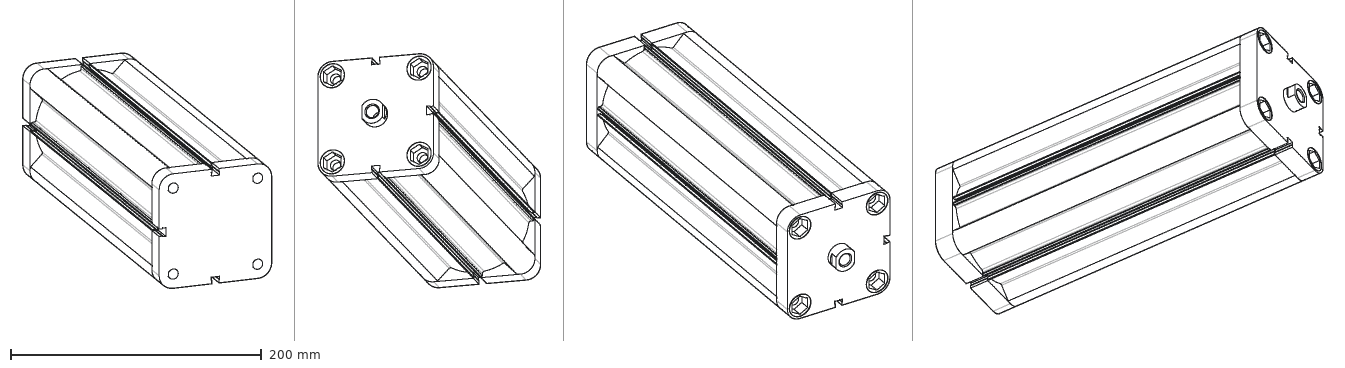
import cadquery as cq
import math

SIDE = 96.0
HALF_SIDE = SIDE / 2
BODY_LENGTH = 306.5
CAP_LENGTH = 16.5
ROD_PROJECTION = 10.0
BARREL_LENGTH = BODY_LENGTH - 2 * CAP_LENGTH
REAR_CAP_START = BODY_LENGTH - CAP_LENGTH

BOLT_OFFSET = 36.0
CORNER_RADIUS = HALF_SIDE - BOLT_OFFSET
BOLT_HOLE_DIAMETER = 8.5
HEX_ACROSS_FLATS = 14.5
HEX_DEPTH = 9.0
SPOT_FACE_DIAMETER = 20.0
SPOT_FACE_DEPTH = 0.5

LIP_DEPTH = 3.0
CHAMBER_WIDTH = 7.2
CAP_MOUTH_WIDTH = 6.2
CAP_SLOT_DEPTH = 5.6
BARREL_MOUTH_WIDTH = 4.8
BARREL_SLOT_DEPTH = 5.0

CORE_RADIUS = 43.3
POST_EDGE = 32.8
VALLEY_FILLET = 1.5
RAIL_HALF_WIDTH = 4.4
RAIL_FOOT_RADIUS = 1.8
RAIL_CHAMFER = 1.0
RAIL_TOP = 47.5

ROD_DIAMETER = 20.0
ROD_ACROSS_FLATS = 17.0
FLAT_LENGTH = 6.5
THREAD_HOLE_DIAMETER = 10.2
THREAD_HOLE_DEPTH = 20.0
DRILL_POINT_ANGLE = 118.0
COUNTERSINK_DIAMETER = 12.0

FACE_ANGLES = (0, 90, 180, 270)


def section_plane(x):
    """Sketch plane across the axis at X = x: local x is +Y, local y is +Z, extruding toward +X."""
    return cq.Workplane("YZ", origin=(x, 0, 0))


def turned(shape, angle):
    """Turn a shape about the cylinder axis."""
    return shape.rotate((0, 0, 0), (1, 0, 0), angle)


def at_bolts(plane):
    """Put a workplane at the four corner bolt positions."""
    return plane.rect(2 * BOLT_OFFSET, 2 * BOLT_OFFSET, forConstruction=True).vertices()


def bolt_holes(start, length):
    """Cutters for the four bolt holes, from X = start."""
    return at_bolts(section_plane(start)).circle(BOLT_HOLE_DIAMETER / 2).extrude(length)


def t_slot(start, length, mouth_width, depth):
    """Cutter for a T-slot open toward +Z, with its floor the given depth below the outer face."""
    floor = HALF_SIDE - depth
    chamber_height = depth - LIP_DEPTH
    chamber = (
        section_plane(start)
        .center(0, floor + chamber_height / 2)
        .rect(CHAMBER_WIDTH, chamber_height)
        .extrude(length)
    )
    mouth = section_plane(start).center(0, floor + depth / 2).rect(mouth_width, depth).extrude(length)
    return chamber.union(mouth)


def cap(start):
    """End cap with rounded corners, bolt holes and slots on the -Y, +Z and -Z edges."""
    block = section_plane(start).rect(SIDE, SIDE).extrude(CAP_LENGTH)
    block = block.edges("|X").fillet(CORNER_RADIUS).cut(bolt_holes(start, CAP_LENGTH))
    slot = t_slot(start, CAP_LENGTH, CAP_MOUTH_WIDTH, CAP_SLOT_DEPTH)
    for angle in (0, 90, 180):
        block = block.cut(turned(slot, angle))
    return block


def hex_sockets():
    """Hexagonal prisms at the bolt positions, with a corner pointing along Z."""
    across_corners = HEX_ACROSS_FLATS / math.cos(math.pi / 6)
    corners = at_bolts(section_plane(0).transformed(rotate=(0, 0, 90)))
    return corners.polygon(6, across_corners).extrude(SPOT_FACE_DEPTH + HEX_DEPTH)


def front_cap():
    """Cap with hexagonal bolt sockets below shallow spot faces, bored for the rod."""
    spot_faces = at_bolts(section_plane(0)).circle(SPOT_FACE_DIAMETER / 2).extrude(SPOT_FACE_DEPTH)
    bore = section_plane(0).circle(ROD_DIAMETER / 2).extrude(CAP_LENGTH)
    return cap(0).cut(spot_faces).cut(hex_sockets()).cut(bore)


def posts():
    """Four corner posts: round outside, with 45 degree flanks running in to the core."""
    edge_rise = math.sqrt(CORNER_RADIUS**2 - (BOLT_OFFSET - POST_EDGE) ** 2)
    edge_height = BOLT_OFFSET + edge_rise
    flank_root = edge_height - POST_EDGE
    outer = BOLT_OFFSET + CORNER_RADIUS * math.sin(math.pi / 4)
    post = (
        section_plane(CAP_LENGTH)
        .moveTo(0, flank_root)
        .lineTo(POST_EDGE, edge_height)
        .threePointArc((outer, outer), (edge_height, POST_EDGE))
        .lineTo(flank_root, 0)
        .lineTo(0, 0)
        .close()
        .extrude(BARREL_LENGTH)
    )
    return [turned(post, angle) for angle in FACE_ANGLES]


def rail():
    """Rail along the +Z side of the core, with concave feet and chamfered top edges."""
    foot_half_width = RAIL_HALF_WIDTH + RAIL_FOOT_RADIUS
    foot_height = math.sqrt(CORE_RADIUS**2 - foot_half_width**2)
    side_height = foot_height + RAIL_FOOT_RADIUS
    top_half_width = RAIL_HALF_WIDTH - RAIL_CHAMFER
    return (
        section_plane(CAP_LENGTH)
        .lineTo(foot_half_width, foot_height)
        .radiusArc((RAIL_HALF_WIDTH, side_height), RAIL_FOOT_RADIUS)
        .lineTo(RAIL_HALF_WIDTH, RAIL_TOP - RAIL_CHAMFER)
        .lineTo(top_half_width, RAIL_TOP)
        .lineTo(-top_half_width, RAIL_TOP)
        .lineTo(-RAIL_HALF_WIDTH, RAIL_TOP - RAIL_CHAMFER)
        .lineTo(-RAIL_HALF_WIDTH, side_height)
        .radiusArc((-foot_half_width, foot_height), RAIL_FOOT_RADIUS)
        .close()
        .extrude(BARREL_LENGTH)
    )


def barrel():
    """Extruded profile: round core, four bolt posts and a slotted rail on each side."""
    profile = section_plane(CAP_LENGTH).circle(CORE_RADIUS).extrude(BARREL_LENGTH)
    for post in posts():
        profile = profile.union(post)
    valley_limit = CORE_RADIUS - VALLEY_FILLET
    valley_box = cq.selectors.BoxSelector(
        (0, -valley_limit, -valley_limit), (BODY_LENGTH, valley_limit, valley_limit)
    )
    profile = profile.edges("|X").edges(valley_box).fillet(VALLEY_FILLET)
    for angle in FACE_ANGLES:
        profile = profile.union(turned(rail(), angle))
    slot = t_slot(CAP_LENGTH, BARREL_LENGTH, BARREL_MOUTH_WIDTH, BARREL_SLOT_DEPTH)
    for angle in FACE_ANGLES:
        profile = profile.cut(turned(slot, angle))
    return profile.cut(bolt_holes(CAP_LENGTH, BARREL_LENGTH))


def piston_rod():
    """Rod through the front cap, with wrench flats and a drilled, countersunk thread hole."""
    rod = section_plane(-ROD_PROJECTION).circle(ROD_DIAMETER / 2).extrude(ROD_PROJECTION + CAP_LENGTH)
    between_flats = section_plane(-ROD_PROJECTION).rect(ROD_ACROSS_FLATS, ROD_DIAMETER).extrude(FLAT_LENGTH)
    behind_flats = section_plane(FLAT_LENGTH - ROD_PROJECTION).rect(ROD_DIAMETER, ROD_DIAMETER)
    rod = rod.intersect(between_flats.union(behind_flats.extrude(BODY_LENGTH)))

    hole_radius = THREAD_HOLE_DIAMETER / 2
    mouth_radius = COUNTERSINK_DIAMETER / 2
    countersink_depth = mouth_radius - hole_radius
    point_length = hole_radius / math.tan(math.radians(DRILL_POINT_ANGLE / 2))
    hole = (
        cq.Workplane("XY", origin=(-ROD_PROJECTION, 0, 0))
        .lineTo(0, mouth_radius)
        .lineTo(countersink_depth, hole_radius)
        .lineTo(THREAD_HOLE_DEPTH, hole_radius)
        .lineTo(THREAD_HOLE_DEPTH + point_length, 0)
        .close()
        .revolve(360, (0, 0, 0), (1, 0, 0))
    )
    return rod.cut(hole)


result = cq.Compound.makeCompound([
    front_cap().val(),
    barrel().val(),
    cap(REAR_CAP_START).val(),
    piston_rod().val(),
])